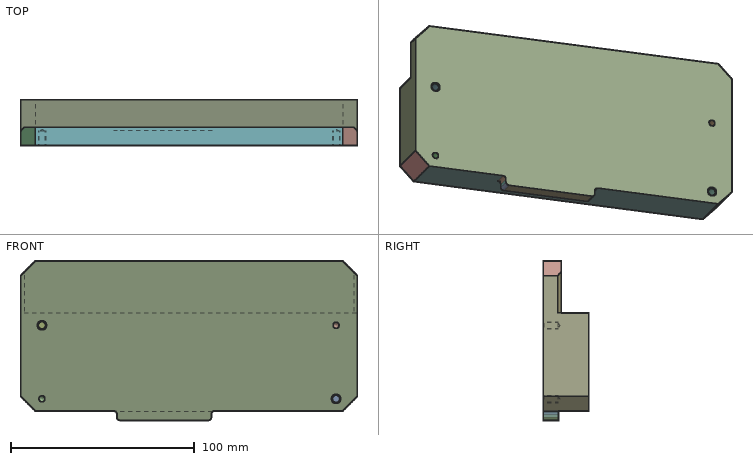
import cadquery as cq
import math

WIDTH = 183.2
DEPTH = 25.0
HEIGHT = 81.75
CORNER_CHAMFER = 8.0

PLATE_THICKNESS = 10.0
BLOCK_HEIGHT = 53.45
PLATE_EDGE_CHAMFER = 2.0

TAB_CENTRE_X = -13.5
TAB_WIDTH = 51.5
TAB_DROP = 5.15
TAB_THICKNESS = 8.5
TAB_FILLET = 1.8

HOLE_SPACING_X = 160.0
HOLE_SPACING_Z = 40.0
LOWER_HOLE_Z = 6.65
DOWEL_DIAMETER = 4.0
DOWEL_DEPTH = 8.0
DOWEL_RIM = 0.5
SCREW_DIAMETER = 3.3
SCREW_DEPTH = 8.0
DRILL_POINT_ANGLE = 118.0
INWARD = cq.Vector(0, 1, 0)


def front_plane():
    """Sketch plane on the front face: local x is X, local y is Z, normal points out along -Y."""
    return cq.Workplane("XZ")


def make_body():
    """Full-depth block with cut corners, stepped down to a plate above BLOCK_HEIGHT."""
    block = (
        front_plane()
        .center(0, HEIGHT / 2)
        .rect(WIDTH, HEIGHT)
        .extrude(-DEPTH)
        .edges("|Y")
        .chamfer(CORNER_CHAMFER)
    )
    step = cq.Workplane("XY").box(
        WIDTH, DEPTH - PLATE_THICKNESS, HEIGHT - BLOCK_HEIGHT, centered=(True, False, False)
    )
    return block.cut(step.translate((0, PLATE_THICKNESS, BLOCK_HEIGHT)))


def plate_edge_cutter(side):
    """Triangular prism that bevels the rear upright edge of the plate; side is -1 or 1."""
    edge_x = side * WIDTH / 2
    return (
        cq.Workplane("XY", origin=(0, 0, BLOCK_HEIGHT))
        .moveTo(edge_x, PLATE_THICKNESS)
        .lineTo(edge_x - side * PLATE_EDGE_CHAMFER, PLATE_THICKNESS)
        .lineTo(edge_x, PLATE_THICKNESS - PLATE_EDGE_CHAMFER)
        .close()
        .extrude(HEIGHT - BLOCK_HEIGHT)
    )


def add_tab(body):
    """Hang the tab below the lower edge, rounding its roots and its lower corners."""
    tab = (
        front_plane()
        .center(TAB_CENTRE_X, -TAB_DROP / 2)
        .rect(TAB_WIDTH, TAB_DROP)
        .extrude(-TAB_THICKNESS)
    )
    tab = tab.faces("<Z").edges("|Y").fillet(TAB_FILLET)
    root_region = cq.selectors.BoxSelector(
        (TAB_CENTRE_X - TAB_WIDTH, 0, -TAB_DROP / 2),
        (TAB_CENTRE_X + TAB_WIDTH, TAB_THICKNESS, TAB_DROP / 2),
    )
    roots = body.union(tab).edges("|Y").edges(root_region)
    return roots.fillet(TAB_FILLET)


def dowel_cutter():
    """Flat-bottomed dowel hole with a chamfered rim, opening at the origin and running along +Y."""
    radius = DOWEL_DIAMETER / 2
    hole = front_plane().circle(radius).extrude(-DOWEL_DEPTH)
    rim = cq.Solid.makeCone(radius + DOWEL_RIM, radius, DOWEL_RIM, dir=INWARD)
    return hole.union(cq.Workplane(rim))


def screw_cutter():
    """Blind hole with a conical drill point, opening at the origin and running along +Y."""
    radius = SCREW_DIAMETER / 2
    point_length = radius / math.tan(math.radians(DRILL_POINT_ANGLE / 2))
    hole = front_plane().circle(radius).extrude(-SCREW_DEPTH)
    point = cq.Solid.makeCone(radius, 0, point_length, pnt=cq.Vector(0, SCREW_DEPTH, 0), dir=INWARD)
    return hole.union(cq.Workplane(point))


result = make_body()
for side in (-1, 1):
    result = result.cut(plate_edge_cutter(side))
result = add_tab(result)

left_x = -HOLE_SPACING_X / 2
right_x = HOLE_SPACING_X / 2
upper_hole_z = LOWER_HOLE_Z + HOLE_SPACING_Z
for x, z in ((left_x, upper_hole_z), (right_x, LOWER_HOLE_Z)):
    result = result.cut(dowel_cutter().translate((x, 0, z)))
for x, z in ((left_x, LOWER_HOLE_Z), (right_x, upper_hole_z)):
    result = result.cut(screw_cutter().translate((x, 0, z)))